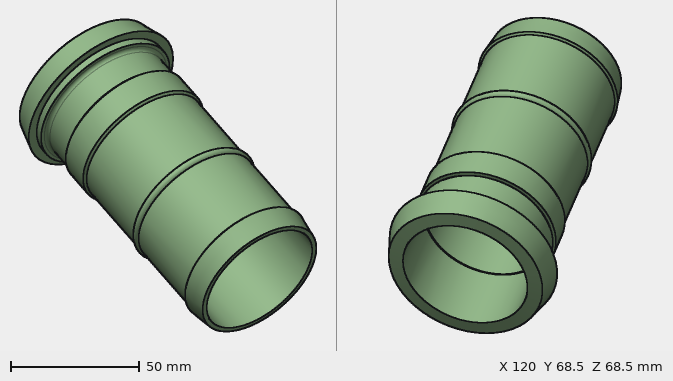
import cadquery as cq

total_length = 120.0
bore_radius = 50.0 / 2
pipe_radius = 55.0 / 2
raised_radius = 57.0 / 2
shoulder_radius = 61.0 / 2
rim_radius = 68.5 / 2

face_rise = 0.5
face_radius = 31.5
nose_bore_radius = 25.5
head_end = 10.9
shoulder_end = 13.9
neck_fillet = 1.5

joint_position = 28.0
joint_chamfer = 0.8

collar_end = 40.0
collar_chamfer = 1.0
bead_center = 75.0
bead_half_width = 1.7
barb_start = 109.3
barb_peak = 110.0
barb_tip_radius = 27.0


def make_nose():
    """Tapered sealing head with a neck, chamfered where it meets the joint face."""
    profile = (
        cq.Workplane("XY")
        .moveTo(0, nose_bore_radius)
        .lineTo(face_rise, face_radius)
        .lineTo(head_end, rim_radius)
        .lineTo(head_end, shoulder_radius)
        .lineTo(shoulder_end, shoulder_radius)
        .lineTo(shoulder_end, pipe_radius + neck_fillet)
        .radiusArc((shoulder_end + neck_fillet, pipe_radius), -neck_fillet)
        .lineTo(joint_position - joint_chamfer, pipe_radius)
        .lineTo(joint_position, pipe_radius - joint_chamfer)
        .lineTo(joint_position, nose_bore_radius)
        .close()
    )
    return profile.revolve(360, (0, 0, 0), (1, 0, 0))


def make_hose_tail():
    """Tube with a collar at the joint face, a rounded bead and a tapered barb."""
    profile = (
        cq.Workplane("XY")
        .moveTo(joint_position, bore_radius)
        .lineTo(joint_position, raised_radius)
        .lineTo(collar_end, raised_radius)
        .lineTo(collar_end + collar_chamfer, pipe_radius)
        .lineTo(bead_center - bead_half_width, pipe_radius)
        .threePointArc((bead_center, raised_radius), (bead_center + bead_half_width, pipe_radius))
        .lineTo(barb_start, pipe_radius)
        .lineTo(barb_peak, raised_radius)
        .lineTo(total_length, barb_tip_radius)
        .lineTo(total_length, bore_radius)
        .close()
    )
    return profile.revolve(360, (0, 0, 0), (1, 0, 0))


nose = make_nose()
hose_tail = make_hose_tail()
result = cq.Compound.makeCompound([nose.val(), hose_tail.val()])